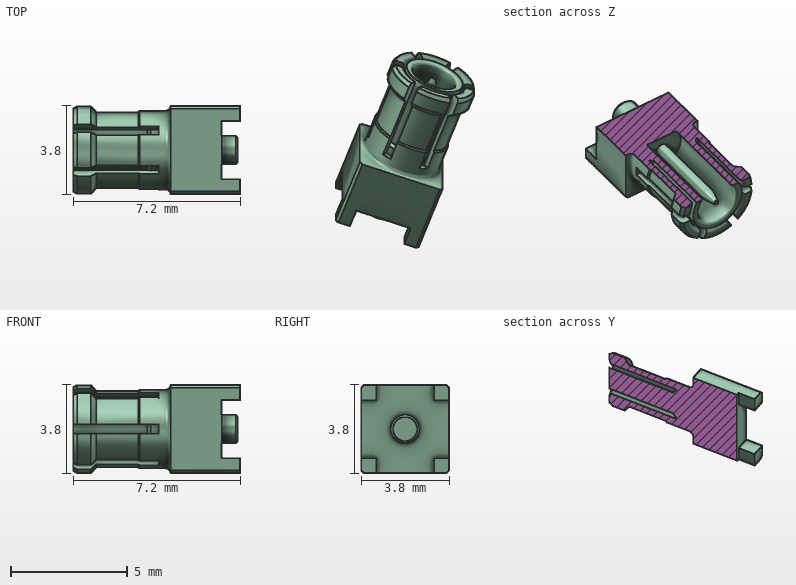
import cadquery as cq
import math


block_size = 3.8
block_start = 4.2
block_end = 6.4
overall_length = 7.2
leg_size = 0.65
corner_radius = 2.6

lip_radius = block_size / 2
lip_front_radius = 1.8
lip_chamfer_end = 0.18
lip_end = 0.77
body_radius = 1.65
body_start = 1.0
body_end = 2.8
neck_radius = 1.7
neck_start = 2.88
neck_fillet = block_size / 2 - neck_radius
sleeve_bore_radius = 1.4
sleeve_mouth_fillet = 0.15

slot_count = 6
slot_width = 0.4
slot_end = 3.7

tube_radius = 1.28
tube_bore_radius = 1.0
tube_mouth_fillet = 0.11
gap_cone_start = 3.2
gap_end = 3.35

contact_radius = 0.27
contact_tip_radius = 0.11
contact_start = 0.11
contact_taper_length = 0.6
pin_radius = 0.62
pin_end = 7.1
pin_chamfer = 0.1


def spin(profile):
    """Revolve a closed (x, radius) profile about the connector axis."""
    return profile.close().revolve(360, (0, 0, 0), (1, 0, 0))


def rod(start, end, radius):
    """Cylinder along X between two stations."""
    return cq.Workplane("YZ", origin=(start, 0, 0)).circle(radius).extrude(end - start)


def fillet_mid_offset(radius):
    """Distance from a tangent line to the middle of a quarter-circle fillet."""
    return radius * (1 - math.sqrt(0.5))


def make_block():
    """Square block, its corners turned to a cylinder about the axis, with four legs at the rear."""
    block = cq.Workplane("YZ", origin=(block_start, 0, 0)).rect(block_size, block_size)
    block = block.extrude(overall_length - block_start)
    block = block.intersect(rod(block_start, overall_length, corner_radius))
    channel_width = block_size - 2 * leg_size
    leg_length = overall_length - block_end
    channel_x = (block_end + overall_length) / 2
    for width_y, width_z in ((channel_width, block_size), (block_size, channel_width)):
        channel = cq.Workplane("XY").box(leg_length, width_y, width_z)
        block = block.cut(channel.translate((channel_x, 0, 0)))
    return block


def make_barrel():
    """Solid of the sleeve outline, flaring into the front face of the block."""
    mid = fillet_mid_offset(neck_fillet)
    profile = (
        cq.Workplane("XZ")
        .moveTo(0, 0)
        .lineTo(0, lip_front_radius)
        .lineTo(lip_chamfer_end, lip_radius)
        .lineTo(lip_end, lip_radius)
        .lineTo(body_start, body_radius)
        .lineTo(body_end, body_radius)
        .lineTo(neck_start, neck_radius)
        .lineTo(block_start - neck_fillet, neck_radius)
        .threePointArc((block_start - mid, neck_radius + mid), (block_start, neck_radius + neck_fillet))
        .lineTo(block_start, 0)
    )
    return spin(profile)


def make_annular_gap():
    """Gap between sleeve and tube: rounded mouth, conical floor."""
    mid = fillet_mid_offset(sleeve_mouth_fillet)
    profile = (
        cq.Workplane("XZ")
        .moveTo(0, tube_radius)
        .lineTo(0, sleeve_bore_radius + sleeve_mouth_fillet)
        .threePointArc((mid, sleeve_bore_radius + mid), (sleeve_mouth_fillet, sleeve_bore_radius))
        .lineTo(gap_end, sleeve_bore_radius)
        .lineTo(gap_cone_start, tube_radius)
    )
    return spin(profile)


def make_slots():
    """Radial slots through the sleeve wall, floored on the gap's outer radius."""
    slots = cq.Workplane("XY")
    for index in range(slot_count):
        slot = cq.Workplane("XY").box(slot_end, block_size, slot_width, centered=(False, False, True))
        slots = slots.add(slot.rotate((0, 0, 0), (1, 0, 0), index * 360 / slot_count))
    return slots.combine().cut(rod(0, slot_end, sleeve_bore_radius))


def make_tube_bore():
    """Bore of the inner tube with a rounded mouth, ending at the block face."""
    mid = fillet_mid_offset(tube_mouth_fillet)
    profile = (
        cq.Workplane("XZ")
        .moveTo(0, 0)
        .lineTo(0, tube_bore_radius + tube_mouth_fillet)
        .threePointArc((mid, tube_bore_radius + mid), (tube_mouth_fillet, tube_bore_radius))
        .lineTo(block_start, tube_bore_radius)
        .lineTo(block_start, 0)
    )
    return spin(profile)


def make_contact():
    """Centre contact with a tapered tip, rooted in the block."""
    profile = (
        cq.Workplane("XZ")
        .moveTo(contact_start, 0)
        .lineTo(contact_start, contact_tip_radius)
        .lineTo(contact_start + contact_taper_length, contact_radius)
        .lineTo(block_end, contact_radius)
        .lineTo(block_end, 0)
    )
    return spin(profile)


def make_pin():
    """Rear pin between the legs, chamfered at its free end."""
    return rod(block_start, pin_end, pin_radius).faces(">X").chamfer(pin_chamfer)


barrel = make_barrel().cut(make_annular_gap()).cut(make_slots()).cut(make_tube_bore())
result = make_block().union(barrel).union(make_contact()).union(make_pin())